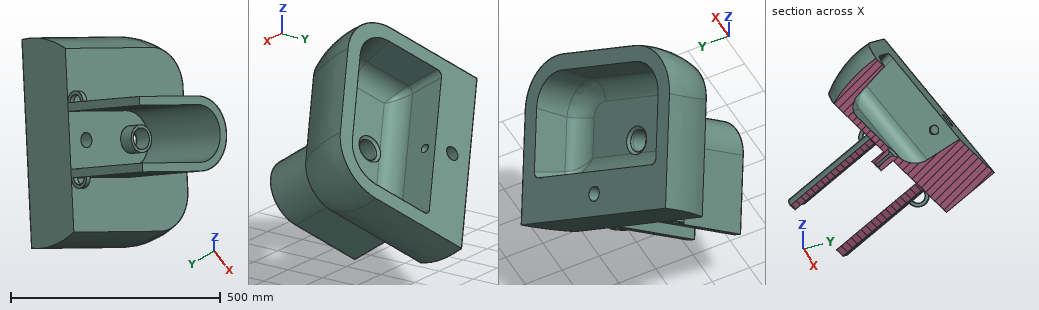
import cadquery as cq
import math

TILTED = cq.Plane(
    origin=(0, 0, 0),
    xDir=(1 / math.sqrt(2), 1 / math.sqrt(6), -1 / math.sqrt(3)),
    normal=(0, 2 / math.sqrt(6), 1 / math.sqrt(3)),
)

basin_width = 500.0
basin_depth = 403.0
basin_height = 150.0
rim_corner_radius = 126.5
waist_drop = 63.5
waist_inset = 0.5
base_side_inset = 30.0
base_front_inset = 23.5
base_corner_radius = 96.0

bowl_width = 421.0
bowl_back = -109.0
bowl_front = -364.0
bowl_back_radius = 15.5
bowl_front_radius = 86.5
bowl_drop = 133.5
bowl_draft = 7.0
bowl_floor_blend = 49.5

drain_y = -200.5
drain_mouth_radius = 34.5
drain_mouth_rise = 6.0
drain_seat_radius = 27.0
drain_seat_drop = 6.0
drain_bore_radius = 26.0
drain_bore_drop = 12.5
outlet_length = 37.0
outlet_wall = 7.5
tap_y = -55.0
tap_radius = 18.0
overflow_drop = 33.5
overflow_radius = 11.0
overflow_length = 37.0

pedestal_width = 180.0
pedestal_wall = 21.0
pedestal_straight = 190.0
pedestal_height = 250.0

lug_outer_radius = 26.5
lug_inner_radius = 18.0
lug_thickness = 12.5


def basin_outline(drop, side_inset, front_inset, radius):
    """D-shaped horizontal section of the basin: square at the wall, round in front."""
    half = basin_width / 2 - side_inset
    depth = basin_depth - front_inset
    bend = radius * (1 - math.sqrt(0.5))
    return (
        cq.Workplane("XY", origin=(0, 0, -drop))
        .moveTo(-half, 0)
        .lineTo(-half, radius - depth)
        .threePointArc((bend - half, bend - depth), (radius - half, -depth))
        .lineTo(half - radius, -depth)
        .threePointArc((half - bend, bend - depth), (half, radius - depth))
        .lineTo(half, 0)
        .close()
        .val()
    )


def make_bowl():
    """Cavity with drafted walls; the floor blend is made before the tight back corners."""
    middle = (bowl_back + bowl_front) / 2
    block = (
        cq.Workplane("XY")
        .center(0, middle)
        .rect(bowl_width, bowl_back - bowl_front)
        .extrude(-bowl_drop, taper=bowl_draft)
    )
    front_half = cq.selectors.BoxSelector(
        (-bowl_width, bowl_front, 6 - bowl_drop), (bowl_width, middle - 6, -6)
    )
    back_half = cq.selectors.BoxSelector(
        (-bowl_width, middle + 6, 6 - bowl_drop), (bowl_width, bowl_back, -6)
    )
    block = block.edges(front_half).fillet(bowl_front_radius)
    block = block.faces("<Z").edges().fillet(bowl_floor_blend)
    return block.edges(back_half).fillet(bowl_back_radius)


def make_drain():
    bore_bottom = bowl_drop - basin_height - outlet_length
    return (
        cq.Workplane("XZ", origin=(0, drain_y, -bowl_drop))
        .moveTo(0, drain_mouth_rise)
        .lineTo(drain_mouth_radius, drain_mouth_rise)
        .lineTo(drain_mouth_radius, 0)
        .lineTo(drain_seat_radius, -drain_seat_drop)
        .lineTo(drain_bore_radius, -drain_bore_drop)
        .lineTo(drain_bore_radius, bore_bottom)
        .lineTo(0, bore_bottom)
        .close()
        .revolve(360, (0, 0), (0, 1))
    )


def make_basin():
    sections = [
        basin_outline(0, 0, 0, rim_corner_radius),
        basin_outline(waist_drop, waist_inset, waist_inset, rim_corner_radius),
        basin_outline(basin_height, base_side_inset, base_front_inset, base_corner_radius),
    ]
    shell = cq.Workplane(cq.Solid.makeLoft(sections))
    outlet = (
        cq.Workplane("XY", origin=(0, drain_y, -basin_height))
        .circle(drain_bore_radius + outlet_wall)
        .extrude(-outlet_length)
    )
    tap_hole = cq.Workplane("XY").center(0, tap_y).circle(tap_radius).extrude(-basin_height)
    overflow = (
        cq.Workplane("XZ", origin=(0, bowl_back - overflow_length / 2, -overflow_drop))
        .circle(overflow_radius)
        .extrude(-overflow_length)
    )
    basin_body = shell.cut(make_bowl()).union(outlet)
    return basin_body.cut(make_drain()).cut(tap_hole).cut(overflow)


def u_profile(half):
    """U section open at the wall, with a semicircular front of radius `half`."""
    return (
        cq.Workplane("XY", origin=(0, 0, -basin_height))
        .moveTo(-half, 0)
        .lineTo(-half, -pedestal_straight)
        .threePointArc((0, -pedestal_straight - half), (half, -pedestal_straight))
        .lineTo(half, 0)
        .close()
        .extrude(-pedestal_height)
    )


def make_pedestal():
    half = pedestal_width / 2
    return u_profile(half).cut(u_profile(half - pedestal_wall))


def make_lug(side):
    """Half ring on the left (side = -1) or right (side = 1) of the pedestal."""
    outer = lug_outer_radius
    ring = cq.Workplane("XZ").circle(outer).circle(lug_inner_radius).extrude(lug_thickness)
    outside = cq.Workplane("XY").box(outer, 2 * outer, 2 * outer).translate((side * outer / 2, 0, 0))
    center = (side * pedestal_width / 2, 0, -basin_height - outer)
    return ring.intersect(outside).translate(center)


def tilt(body):
    return body.solids().val().moved(cq.Location(TILTED))


basin = tilt(make_basin())
pedestal = tilt(make_pedestal())
lugs = [tilt(make_lug(side)) for side in (-1, 1)]

result = cq.Compound.makeCompound([basin, pedestal, *lugs])